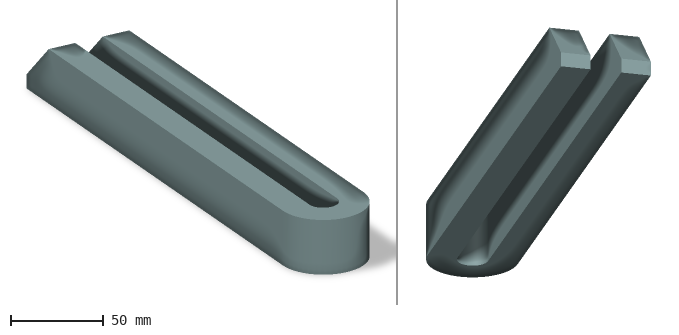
import cadquery as cq

length = 300.0
width = 50.0
height = 32.0

slot_width = 17.0
bevel = 24.0

outer_radius = width / 2
slot_radius = slot_width / 2
bend_center_x = length - outer_radius


def rounded_bar(radius):
    """Full-height bar from the arm tips to a semicircle about the bend center."""
    return (
        cq.Workplane("XY")
        .moveTo(0, -radius)
        .lineTo(bend_center_x, -radius)
        .threePointArc((bend_center_x + radius, 0), (bend_center_x, radius))
        .lineTo(0, radius)
        .close()
        .extrude(height)
    )


def tip_bevel():
    """Triangular wedge removed from the top of the arm tips."""
    return (
        cq.Workplane("XZ")
        .polyline([(0, height - bevel), (bevel, height), (0, height)])
        .close()
        .extrude(outer_radius, both=True)
    )


result = rounded_bar(outer_radius).cut(rounded_bar(slot_radius)).cut(tip_bevel())